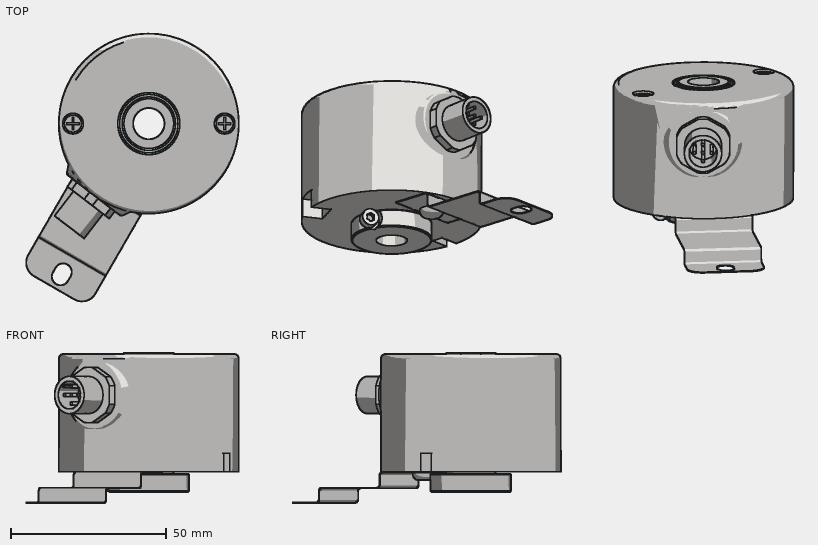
import cadquery as cq
import math

BODY_RADIUS = 29.0
BODY_HEIGHT = 38.0
BODY_TOP_FILLET = 1.6

BORE_RADIUS = 5.0
HUB_RADIUS = 8.0
HUB_TOP = 38.3
OPENING_RADIUS = 8.6
SEAL_INNER_RADIUS = 9.4
SEAL_OUTER_RADIUS = 10.0
SEAL_GROOVE_DEPTH = 0.3
OPENING_DEPTH = 0.6

COVER_SCREW_OFFSET = 24.4
COVER_SINK_RADIUS = 3.35
COVER_SINK_FLOOR_RADIUS = 2.75
COVER_SINK_DEPTH = 0.6
CROSS_LENGTH = 4.0
CROSS_WIDTH = 0.6
CROSS_DEPTH = 1.0

RIM_SLOTS = [(-30.0, 4.0), (120.0, 9.0)]
RIM_SLOT_HEIGHT = 6.0
RIM_SLOT_FLOOR = 22.0

CLAMP_RADIUS = 13.0
CLAMP_HEIGHT = 6.0
CLAMP_GAP = 0.5
CLAMP_CHAMFER = 0.4

CLAMP_SCREW_ANGLE = 210.0
CLAMP_SCREW_OFFSET = 10.65
CLAMP_SCREW_SEAT = 7.9
CLAMP_SCREW_RADIUS = 2.75
CLAMP_SCREW_HEAD_LENGTH = 3.0
CLAMP_COUNTERBORE_RADIUS = 3.8
SOCKET_ACROSS_FLATS = 2.5
SOCKET_DEPTH = 1.5
SOCKET_CONE_DEPTH = 0.7

CONNECTOR_ANGLE = 232.5
CONNECTOR_Z = 24.77
SEAT_FACE = 29.05
SEAT_FACE_RADIUS = 11.1
SEAT_TAPER = 27.0
SEAT_ROOT = 25.5
SEAT_EDGE_FILLET = 0.7
SEAT_ROOT_FILLET = 0.5
NUT_FACE = 32.0
NUT_ACROSS_FLATS = 17.0
NUT_CORNER_RADIUS = 9.0
PLUG_RADIUS = 6.0
PLUG_FACE = 42.0
PLUG_BORE_RADIUS = 4.5
PLUG_BORE_FLOOR = 31.5
PIN_RADIUS = 0.5
PIN_CIRCLE_RADIUS = 2.75
PIN_TIP = 41.0
KEY_ANGLE = 135.0
KEY_WIDTH = 1.0
KEY_INNER_RADIUS = 3.8

BRACKET_ANGLE = 240.0
BRACKET_WIDTH = 25.0
BRACKET_START = 13.0
BRACKET_END = 61.0
BRACKET_CORNER_RADIUS = 5.0
SHEET = 0.3
BEND_INNER_RADIUS = 0.9
RISER_FACES = (26.85, 49.35)
LEVEL_TOPS = (0.0, -5.0, -9.7)
BRACKET_SLOT_CENTRE = 56.0
BRACKET_SLOT_WIDTH = 5.5
BRACKET_SLOT_LENGTH = 7.2
BRACKET_SCREW_DISTANCE = 17.2
BRACKET_SCREW_RADIUS = 3.8
BRACKET_SCREW_BOTTOM = -2.65
BRACKET_SCREW_FILLET = 1.9


def radial_plane(angle, z):
    """Plane through the shaft axis whose normal points outward at the given angle."""
    turn = math.radians(angle)
    tangent = (-math.sin(turn), math.cos(turn), 0)
    outward = (math.cos(turn), math.sin(turn), 0)
    return cq.Plane(origin=(0, 0, z), xDir=tangent, normal=outward)


def rod(plane, radius, start, end):
    """Cylinder along the plane's normal, between two distances from its origin."""
    return cq.Workplane(plane).workplane(offset=start).circle(radius).extrude(end - start)


def corner_diameter(across_flats):
    """Diameter across the corners of a hexagon."""
    return across_flats / math.cos(math.pi / 6)


def ring(outer, inner, bottom, top):
    return cq.Workplane("XY", origin=(0, 0, bottom)).circle(outer).circle(inner).extrude(top - bottom)


def fillet_nearest(solid, point, radius):
    """Round the one edge whose middle is nearest to the point."""
    return solid.edges(cq.selectors.NearestToPointSelector(point)).fillet(radius)


def make_housing():
    body = cq.Workplane("XY").circle(BODY_RADIUS).extrude(BODY_HEIGHT)
    body = body.faces(">Z").edges().fillet(BODY_TOP_FILLET)
    body = body.cut(
        ring(SEAL_OUTER_RADIUS, SEAL_INNER_RADIUS, BODY_HEIGHT - SEAL_GROOVE_DEPTH, BODY_HEIGHT)
    )
    for angle, width in RIM_SLOTS:
        slot = cq.Workplane("XY").box(BODY_RADIUS, width, RIM_SLOT_HEIGHT, centered=(False, True, False))
        body = body.cut(slot.translate((RIM_SLOT_FLOOR, 0, 0)).rotate((0, 0, 0), (0, 0, 1), angle))
    for side in (-1, 1):
        body = body.cut(make_cover_screw_recess().translate((side * COVER_SCREW_OFFSET, 0, BODY_HEIGHT)))
    return body


def make_cover_screw_recess():
    """Cone down to the screw head, and the cross below it; the housing top is at z = 0."""
    recess = cq.Workplane("XY").circle(COVER_SINK_RADIUS).workplane(offset=-COVER_SINK_DEPTH)
    recess = recess.circle(COVER_SINK_FLOOR_RADIUS).loft(ruled=True)
    depth = COVER_SINK_DEPTH + CROSS_DEPTH
    for size in ((CROSS_LENGTH, CROSS_WIDTH), (CROSS_WIDTH, CROSS_LENGTH)):
        recess = recess.union(cq.Workplane("XY").rect(*size).extrude(-depth))
    return recess


def add_shaft(body):
    """Shaft in a countersunk opening, standing proud of the top and reaching down through the clamp."""
    opening = cq.Workplane("XY", origin=(0, 0, BODY_HEIGHT)).circle(OPENING_RADIUS)
    opening = opening.workplane(offset=-OPENING_DEPTH).circle(HUB_RADIUS).loft(ruled=True)
    bottom = -CLAMP_GAP - CLAMP_HEIGHT
    shaft = cq.Workplane("XY", origin=(0, 0, bottom)).circle(HUB_RADIUS).extrude(HUB_TOP - bottom)
    return body.cut(opening).union(shaft)


def make_clamp():
    clamp = cq.Workplane("XY", origin=(0, 0, -CLAMP_GAP)).circle(CLAMP_RADIUS).extrude(-CLAMP_HEIGHT)
    clamp = clamp.edges().chamfer(CLAMP_CHAMFER)
    plane = radial_plane(CLAMP_SCREW_ANGLE, -CLAMP_GAP - CLAMP_HEIGHT / 2)
    plane.origin = plane.toWorldCoords((-CLAMP_SCREW_OFFSET, 0, 0))
    clamp = clamp.cut(rod(plane, CLAMP_COUNTERBORE_RADIUS, CLAMP_SCREW_SEAT, CLAMP_RADIUS))

    head_face = CLAMP_SCREW_SEAT + CLAMP_SCREW_HEAD_LENGTH
    screw = rod(plane, CLAMP_SCREW_RADIUS, CLAMP_SCREW_SEAT, head_face)
    socket = cq.Workplane(plane).workplane(offset=head_face).transformed(rotate=(0, 0, 90))
    socket = socket.polygon(6, corner_diameter(SOCKET_ACROSS_FLATS)).extrude(-SOCKET_DEPTH)
    tip = cq.Solid.makeCone(
        SOCKET_ACROSS_FLATS / 2,
        0,
        SOCKET_CONE_DEPTH,
        pnt=plane.toWorldCoords((0, 0, head_face - SOCKET_DEPTH)),
        dir=-plane.zDir,
    )
    return clamp.union(screw).cut(socket).cut(cq.Workplane(tip))


def add_connector_seat(body):
    """Tapered boss blended into the housing wall."""
    plane = radial_plane(CONNECTOR_ANGLE, CONNECTOR_Z)
    depth = SEAT_FACE - SEAT_ROOT
    root_radius = SEAT_FACE_RADIUS + depth * math.tan(math.radians(SEAT_TAPER))
    seat = cq.Workplane(plane).workplane(offset=SEAT_FACE).circle(SEAT_FACE_RADIUS)
    seat = seat.workplane(offset=-depth).circle(root_radius).loft(ruled=True)
    seat = seat.edges(cq.selectors.RadiusNthSelector(0)).fillet(SEAT_EDGE_FILLET)
    foot = plane.toWorldCoords((0, -root_radius, SEAT_FACE))
    return fillet_nearest(body.union(seat), foot.toTuple(), SEAT_ROOT_FILLET)


def add_connector(body):
    """Nut, round plug, contact pins and polarizing key on the seat."""
    plane = radial_plane(CONNECTOR_ANGLE, CONNECTOR_Z)

    nut = cq.Workplane(plane).workplane(offset=SEAT_ROOT).transformed(rotate=(0, 0, 90))
    nut = nut.polygon(6, corner_diameter(NUT_ACROSS_FLATS)).extrude(NUT_FACE - SEAT_ROOT)
    nut = nut.intersect(rod(plane, NUT_CORNER_RADIUS, SEAT_ROOT, NUT_FACE))

    plug = rod(plane, PLUG_RADIUS, SEAT_ROOT, PLUG_FACE)
    body = body.union(nut).union(plug).cut(rod(plane, PLUG_BORE_RADIUS, PLUG_BORE_FLOOR, PLUG_FACE))

    pin = rod(plane, PIN_RADIUS, SEAT_ROOT, PIN_TIP)
    body = body.union(pin)
    for direction in (plane.xDir, plane.yDir, -plane.xDir, -plane.yDir):
        body = body.union(pin.translate(direction * PIN_CIRCLE_RADIUS))

    wall_middle = (PLUG_RADIUS + PLUG_BORE_RADIUS) / 2
    key_height = wall_middle - KEY_INNER_RADIUS
    key = cq.Workplane(plane).workplane(offset=PLUG_BORE_FLOOR).transformed(rotate=(0, 0, KEY_ANGLE))
    key = key.center(KEY_INNER_RADIUS + key_height / 2, 0).rect(key_height, KEY_WIDTH)
    return body.union(key.extrude(PIN_TIP - PLUG_BORE_FLOOR))


def make_bracket():
    """Bracket built along +X, then turned to its direction."""
    top, middle, low = LEVEL_TOPS
    first, second = RISER_FACES
    outer_bends = [(first, top), (second, middle)]
    inner_bends = [(first, middle), (second, low)]
    profile = [
        (BRACKET_START, top),
        (first, top),
        (first, middle),
        (second, middle),
        (second, low),
        (BRACKET_END, low),
        (BRACKET_END, low - SHEET),
        (second - SHEET, low - SHEET),
        (second - SHEET, middle - SHEET),
        (first - SHEET, middle - SHEET),
        (first - SHEET, top - SHEET),
        (BRACKET_START, top - SHEET),
    ]
    sheet = cq.Workplane("XZ").polyline(profile).close().extrude(BRACKET_WIDTH / 2, both=True)
    outer_radius = BEND_INNER_RADIUS + SHEET
    for bends, top_radius, underside_radius in (
        (outer_bends, outer_radius, BEND_INNER_RADIUS),
        (inner_bends, BEND_INNER_RADIUS, outer_radius),
    ):
        for x, z in bends:
            sheet = fillet_nearest(sheet, (x, 0, z), top_radius)
            sheet = fillet_nearest(sheet, (x - SHEET, 0, z - SHEET), underside_radius)
    sheet = sheet.edges("|Z and >X").fillet(BRACKET_CORNER_RADIUS)

    slot = cq.Workplane("XY", origin=(BRACKET_SLOT_CENTRE, 0, low - SHEET))
    slot = slot.slot2D(BRACKET_SLOT_LENGTH, BRACKET_SLOT_WIDTH).extrude(SHEET)
    sheet = sheet.cut(slot)

    head = cq.Workplane("XY", origin=(BRACKET_SCREW_DISTANCE, 0, 0))
    head = head.circle(BRACKET_SCREW_RADIUS).extrude(BRACKET_SCREW_BOTTOM)
    sheet = sheet.union(head.faces("<Z").edges().fillet(BRACKET_SCREW_FILLET))
    return sheet.rotate((0, 0, 0), (0, 0, 1), BRACKET_ANGLE)


def make_encoder():
    part = add_connector(add_connector_seat(make_housing()))
    part = add_shaft(part).union(make_clamp()).union(make_bracket())
    bore_bottom = -CLAMP_GAP - CLAMP_HEIGHT
    bore = cq.Workplane("XY", origin=(0, 0, bore_bottom)).circle(BORE_RADIUS).extrude(HUB_TOP - bore_bottom)
    return part.cut(bore)


result = make_encoder()